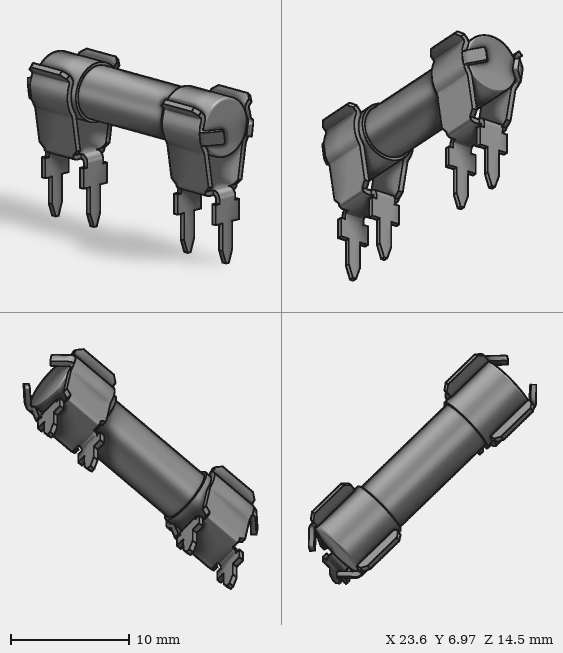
import cadquery as cq
import math


fuse_length = 20.51
tube_diameter = 4.7
cap_diameter = 5.2
cap_length = 5.12
cap_edge_radius = 0.2
cap_radius = cap_diameter / 2
cap_wall = (cap_diameter - tube_diameter) / 2

clip_center_x = 7.95
clip_width = 4.48
sheet = 0.45
grip_top_angle = 22.0
grip_bottom_angle = 33.0
flare_angle = 45.0
flare_bend_radius = 0.2
flare_length = 0.87
arm_bend_radius = 0.73
corner_chamfer = 0.5
clip_half_width = clip_width / 2
clip_outer_radius = cap_radius + sheet

base_top_z = -5.42
base_half_depth = 1.4
base_bend_radius = 0.05
base_half_width = clip_half_width - corner_chamfer

leg_bend_radius = 0.25
leg_outer_x = 2.52
neck_half_width = 0.95
shoulder_half_width = base_half_depth
pin_half_width = 0.6
pin_tip_half_width = 0.17
shoulder_top_z = -6.5
shoulder_bottom_z = -8.28
pin_taper_z = -10.68
overall_height = 14.48
pin_tip_z = cap_radius - overall_height

tab_height = 1.2
tab_tilt = 8.5
tab_bend_angle = 45.0
tab_bend_radius = leg_bend_radius
overall_length = 23.58
tab_tip_x = overall_length / 2 - clip_center_x
tab_inset = 0.05
tab_corner_radius = 0.2


def polar(center, radius, degrees):
    """Point at a radius and angle around a centre."""
    angle = math.radians(degrees)
    return (center[0] + radius * math.cos(angle), center[1] + radius * math.sin(angle))


def add_arc(path, center, radius, start, end):
    """Continue the path with an arc that begins where the path ends; angles are in degrees."""
    return path.threePointArc(polar(center, radius, (start + end) / 2), polar(center, radius, end))


def add_line_and_arc(path, center, radius, start, end):
    """Continue the path with a straight line to the start of an arc, then the arc itself."""
    return add_arc(path.lineTo(*polar(center, radius, start)), center, radius, start, end)


def end_face(*direction):
    """Selector of the face that lies farthest along a direction."""
    return cq.selectors.DirectionMinMaxSelector(cq.Vector(*direction))


def make_tube():
    """Plain cylinder between the end walls of the two caps."""
    half_length = fuse_length / 2 - cap_wall
    return cq.Workplane("YZ", origin=(-half_length, 0, 0)).circle(tube_diameter / 2).extrude(2 * half_length)


def make_cap():
    """Cup over the +X end of the tube, rounded at its closed end."""
    cap = cq.Workplane("YZ", origin=(fuse_length / 2, 0, 0)).circle(cap_radius).extrude(-cap_length)
    cap = cap.faces(">X").edges().fillet(cap_edge_radius)
    bore = (
        cq.Workplane("YZ", origin=(fuse_length / 2 - cap_wall, 0, 0))
        .circle(tube_diameter / 2)
        .extrude(-cap_length)
    )
    return cap.cut(bore)


def make_arm():
    """The +Y arm and its half of the base: the bent strip, with its corners cut off."""
    axis = (0, 0)
    flare_center = polar(axis, clip_outer_radius + flare_bend_radius, grip_top_angle)
    arm_center = polar(axis, clip_outer_radius + arm_bend_radius, -grip_bottom_angle)
    base_center = (base_half_depth, base_top_z + base_bend_radius)

    dy = arm_center[0] - base_center[0]
    dz = arm_center[1] - base_center[1]
    bend_radii = arm_bend_radius + base_bend_radius + sheet
    lean = math.degrees(math.atan2(dy, dz) - math.asin(bend_radii / math.hypot(dy, dz)))

    flare_start = 180 + grip_top_angle
    flare_end = 90 + flare_angle
    arm_start = 180 - grip_bottom_angle
    arm_end = 180 - lean
    flare_outer_end = polar(flare_center, flare_bend_radius, flare_end)
    flare_inner_end = polar(flare_center, flare_bend_radius + sheet, flare_end)
    tip_outer = polar(flare_outer_end, flare_length, flare_angle)
    tip_inner = polar(flare_inner_end, flare_length, flare_angle)

    path = cq.Workplane("YZ").moveTo(0, base_top_z - sheet)
    path = add_line_and_arc(path, base_center, base_bend_radius + sheet, -90, -lean)
    path = add_line_and_arc(path, arm_center, arm_bend_radius, arm_end, arm_start)
    path = add_arc(path, axis, clip_outer_radius, -grip_bottom_angle, grip_top_angle)
    path = add_arc(path, flare_center, flare_bend_radius, flare_start, flare_end)
    path = path.lineTo(*tip_outer).lineTo(*tip_inner)
    path = add_line_and_arc(path, flare_center, flare_bend_radius + sheet, flare_end, flare_start)
    path = add_arc(path, axis, cap_radius, grip_top_angle, -grip_bottom_angle)
    path = add_arc(path, arm_center, arm_bend_radius + sheet, arm_start, arm_end)
    path = add_line_and_arc(path, base_center, base_bend_radius, -lean, -90)
    arm = path.lineTo(0, base_top_z).close().extrude(clip_half_width, both=True)

    tip = arm.faces(end_face(0, *polar((0, 0), 1, flare_angle)))
    arm = tip.edges("not |X").chamfer(corner_chamfer)
    return arm.intersect(lower_trim())


def lower_trim():
    """Block that narrows the strip from the arm width to the base width."""
    clear = 2 * clip_width
    return (
        cq.Workplane("XZ")
        .moveTo(-base_half_width, -clear)
        .lineTo(-base_half_width, base_top_z)
        .lineTo(-clip_half_width, base_top_z + corner_chamfer)
        .lineTo(-clip_half_width, clear)
        .lineTo(clip_half_width, clear)
        .lineTo(clip_half_width, base_top_z + corner_chamfer)
        .lineTo(base_half_width, base_top_z)
        .lineTo(base_half_width, -clear)
        .close()
        .extrude(clear, both=True)
    )


def make_leg():
    """The +X leg: a strip bent down from the base, cut to a neck, shoulders and a pointed pin."""
    bend_center = (leg_outer_x - sheet - leg_bend_radius, base_top_z - sheet - leg_bend_radius)
    strip = cq.Workplane("XZ").moveTo(0, base_top_z)
    strip = add_line_and_arc(strip, bend_center, leg_bend_radius + sheet, 90, 0)
    strip = strip.lineTo(leg_outer_x, pin_tip_z).lineTo(leg_outer_x - sheet, pin_tip_z)
    strip = add_line_and_arc(strip, bend_center, leg_bend_radius, 0, 90)
    strip = strip.lineTo(0, base_top_z - sheet).close().extrude(shoulder_half_width, both=True)

    half_outline = [
        (neck_half_width, base_top_z),
        (neck_half_width, shoulder_top_z),
        (shoulder_half_width, shoulder_top_z),
        (shoulder_half_width, shoulder_bottom_z),
        (pin_half_width, shoulder_bottom_z),
        (pin_half_width, pin_taper_z),
        (pin_tip_half_width, pin_tip_z),
    ]
    other_half = [(-y, z) for y, z in reversed(half_outline)]
    outline = cq.Workplane("YZ").polyline(half_outline + other_half).close().extrude(leg_outer_x)
    return strip.intersect(outline)


def make_tab():
    """Stop tab on the +X edge of the +Y arm, bent in across the end of the fuse."""
    inner_y = cap_radius - tab_inset
    outer_y = inner_y + sheet
    outer_radius = tab_bend_radius + sheet
    bend_center = (clip_half_width, inner_y - tab_bend_radius)
    bend_end = 90 - tab_bend_angle
    outer_bend_end = polar(bend_center, outer_radius, bend_end)
    inner_bend_end = polar(bend_center, tab_bend_radius, bend_end)
    straight = (tab_tip_x - outer_bend_end[0]) / math.cos(math.radians(tab_bend_angle))

    path = cq.Workplane("XY").moveTo(clip_half_width, outer_y)
    path = add_arc(path, bend_center, outer_radius, 90, bend_end)
    path = path.lineTo(*polar(outer_bend_end, straight, -tab_bend_angle))
    path = path.lineTo(*polar(inner_bend_end, straight, -tab_bend_angle))
    path = add_line_and_arc(path, bend_center, tab_bend_radius, bend_end, 90).close()
    root_half_height = tab_height / 2 + tab_corner_radius
    tab = path.extrude(root_half_height, both=True).intersect(tab_outline(root_half_height))

    tip = tab.faces(end_face(*polar((0, 0), 1, -tab_bend_angle), 0))
    tab = tip.edges("not |Z").fillet(tab_corner_radius)
    grip = cq.Workplane("YZ").circle(clip_outer_radius).extrude(tab_tip_x)
    return tab.intersect(grip).rotate((0, 0, 0), (1, 0, 0), -tab_tilt)


def tab_outline(root_half_height):
    """Block with the side outline of the tab: straight edges that flare out at the root."""
    root_x = clip_half_width
    arc_x = root_x + tab_corner_radius
    path = cq.Workplane("XZ").moveTo(root_x, -root_half_height).lineTo(root_x, root_half_height)
    path = add_arc(path, (arc_x, root_half_height), tab_corner_radius, 180, 270)
    path = path.lineTo(tab_tip_x, tab_height / 2).lineTo(tab_tip_x, -tab_height / 2)
    path = path.lineTo(arc_x, -tab_height / 2)
    path = add_arc(path, (arc_x, -root_half_height), tab_corner_radius, 90, 180)
    return path.close().extrude(clip_outer_radius, both=True)


def make_clip():
    """Clip for the +X end of the fuse, centred on X = 0."""
    side = make_arm().union(make_tab())
    leg = make_leg()
    clip = side.union(side.mirror("XZ"))
    return clip.union(leg).union(leg.mirror("YZ"))


tube = make_tube()
cap = make_cap()
clip = make_clip().translate((clip_center_x, 0, 0))

bodies = [tube.val()]
for turn in (0, 180):
    for end_part in (cap, clip):
        bodies += end_part.rotate((0, 0, 0), (0, 0, 1), turn).solids().vals()

result = cq.Compound.makeCompound(bodies)